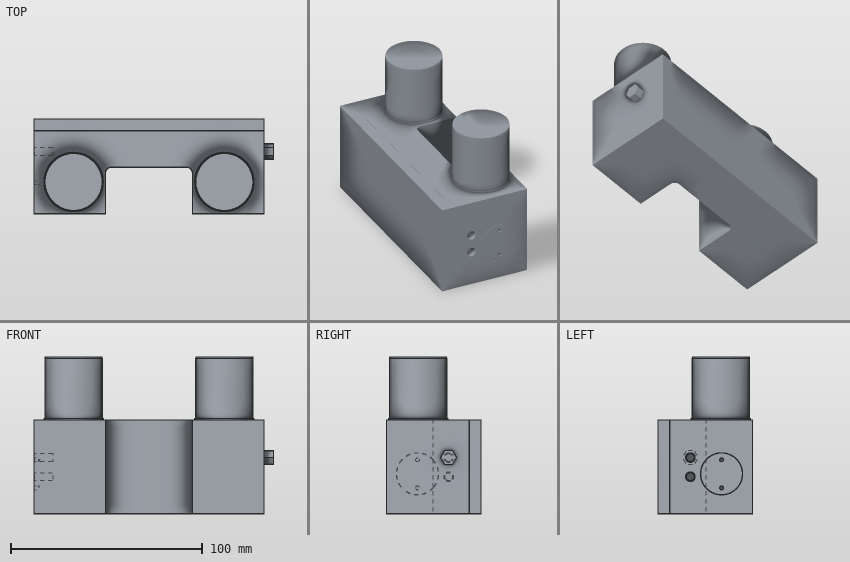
import cadquery as cq
import math

body_length = 120.1
body_height = 49.0
total_depth = 49.5
total_height = 82.0
total_length = 125.1

plate_thickness = 6.1
joint_groove_width = 0.19
joint_groove_depth = 0.1
housing_depth = total_depth - plate_thickness

leg_width = 37.4
notch_depth = 24.3
notch_radius = 3.0
notch_width = body_length - 2 * leg_width

coil_spacing = 78.7
coil_setback = 16.6
coil_diameter = 30.0
coil_top_diameter = 29.8
coil_top_height = 0.8
flange_diameter = 31.0
flange_height = 0.8
coil_height = total_height - body_height

port_diameter = 4.1
port_mouth_diameter = 5.0
port_countersink_depth = (port_mouth_diameter - port_diameter) / 2
port_depth = 10.0
port_setback = 32.5
lower_port_height = 19.4
upper_port_height = 29.4

cover_diameter = 22.0
cover_groove_inner_diameter = 21.8
cover_groove_depth = 0.1
cover_setback = 16.3
cover_height = 20.9
spanner_hole_diameter = 2.0
spanner_hole_spacing = 14.6
spanner_hole_depth = 2.5
drill_point_angle = 118.0

hex_corner_diameter = 8.3
hex_length = total_length - body_length


def left_face(y, z):
    """Workplane on the left face, centred at (y, z); extrusions run into the housing."""
    return cq.Workplane("YZ", origin=(0, y, z))


def cut_notch(block):
    notch = cq.Workplane("XY").box(notch_width, notch_depth, body_height, centered=False)
    notch = notch.edges("|Z and >Y").fillet(notch_radius)
    return block.cut(notch.translate((leg_width, 0, 0)))


def cut_joint_groove(block):
    groove = (
        cq.Workplane("XZ", origin=(0, housing_depth, 0))
        .rect(body_length, body_height, centered=False)
        .extrude(joint_groove_width)
    )
    core = (
        cq.Workplane("XZ", origin=(joint_groove_depth, housing_depth, joint_groove_depth))
        .rect(body_length - 2 * joint_groove_depth, body_height - 2 * joint_groove_depth, centered=False)
        .extrude(joint_groove_width)
    )
    return block.cut(groove.cut(core))


def cut_port(block, height):
    bore = left_face(port_setback, height).circle(port_diameter / 2).extrude(port_depth)
    countersink = cq.Solid.makeCone(
        port_mouth_diameter / 2,
        port_diameter / 2,
        port_countersink_depth,
        cq.Vector(0, port_setback, height),
        cq.Vector(1, 0, 0),
    )
    return block.cut(bore).cut(cq.Workplane(countersink))


def cut_cover_groove(block):
    groove = (
        left_face(cover_setback, cover_height)
        .circle(cover_diameter / 2)
        .circle(cover_groove_inner_diameter / 2)
        .extrude(cover_groove_depth)
    )
    return block.cut(groove)


def cut_spanner_hole(block, height):
    radius = spanner_hole_diameter / 2
    point_length = radius / math.tan(math.radians(drill_point_angle / 2))
    bore = left_face(cover_setback, height).circle(radius).extrude(spanner_hole_depth)
    point = cq.Solid.makeCone(
        radius,
        0,
        point_length,
        cq.Vector(spanner_hole_depth, cover_setback, height),
        cq.Vector(1, 0, 0),
    )
    return block.cut(bore).cut(cq.Workplane(point))


def make_housing():
    block = cq.Workplane("XY").box(body_length, housing_depth, body_height, centered=False)
    block = cut_notch(block)
    block = cut_joint_groove(block)
    for height in (lower_port_height, upper_port_height):
        block = cut_port(block, height)
    block = cut_cover_groove(block)
    for side in (-1, 1):
        block = cut_spanner_hole(block, cover_height + side * spanner_hole_spacing / 2)
    return block


def make_back_plate():
    plate = cq.Workplane("XY").box(body_length, plate_thickness, body_height, centered=False)
    return plate.translate((0, housing_depth, 0))


def make_coil(x):
    """Coil standing on the housing: a thin flange, the barrel and a slightly narrower top rim."""
    base = cq.Workplane("XY", origin=(x, coil_setback, body_height))
    flange = base.circle(flange_diameter / 2).extrude(flange_height)
    barrel = base.circle(coil_diameter / 2).extrude(coil_height - coil_top_height)
    core = base.circle(coil_top_diameter / 2).extrude(coil_height)
    return flange.union(barrel).union(core)


def make_hex_plug():
    base = cq.Workplane("YZ", origin=(body_length, port_setback, upper_port_height))
    return base.polygon(6, hex_corner_diameter).extrude(hex_length)


housing = make_housing()
back_plate = make_back_plate()
coils = [make_coil((body_length + side * coil_spacing) / 2) for side in (-1, 1)]
hex_plug = make_hex_plug()

result = cq.Compound.makeCompound(
    [housing.val(), back_plate.val(), hex_plug.val(), *[coil.val() for coil in coils]]
)